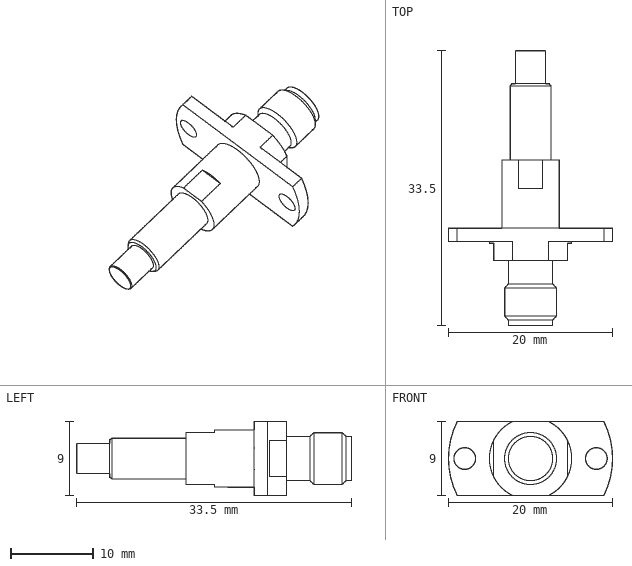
import cadquery as cq

TOTAL_LENGTH = 33.5

NECK_DIAMETER = 5.4
COLLAR_DIAMETER = 6.33
COLLAR_CHAMFER = 0.5
COLLAR_START = 0.67
COLLAR_END = 5.1

FLANGE_HEIGHT = 9.0
BOSS_START = 7.9
SPACER_START = 10.0
SPACER_THICKNESS = 0.2
BOSS_DIAMETER = 10.0
PLATE_START = SPACER_START + SPACER_THICKNESS
PLATE_THICKNESS = 1.65
PLATE_DIAMETER = 20.0
HOLE_SPACING = 16.0
HOLE_DIAMETER = 2.6

BODY_START = PLATE_START + PLATE_THICKNESS
BODY_END = 20.17
BODY_DIAMETER = 7.0
WRENCH_FLAT_LENGTH = 3.45
WRENCH_FLAT_GAP = 6.35
SLEEVE_END = 29.45
SLEEVE_DIAMETER = 5.0
SLEEVE_CHAMFER_LENGTH = 0.3
SLEEVE_CHAMFER_DEPTH = 0.2
TIP_DIAMETER = 3.7
TIP_CHAMFER = 0.1


def disc(diameter, start, length):
    """Round disc about the Y axis, growing towards +Y from start."""
    return cq.Workplane("XZ", origin=(0, start, 0)).circle(diameter / 2).extrude(-length)


def slab(width, height, start, length):
    """Rectangular block centred on the Y axis, growing towards +Y from start."""
    return cq.Workplane("XZ", origin=(0, start, 0)).rect(width, height).extrude(-length)


def make_shaft():
    """Connector, barrel and tip as one revolved profile of (radius, Y station) points."""
    neck_radius = NECK_DIAMETER / 2
    collar_radius = COLLAR_DIAMETER / 2
    body_radius = BODY_DIAMETER / 2
    sleeve_radius = SLEEVE_DIAMETER / 2
    tip_radius = TIP_DIAMETER / 2
    profile = [
        (0, 0),
        (neck_radius, 0),
        (neck_radius, COLLAR_START),
        (collar_radius, COLLAR_START + COLLAR_CHAMFER),
        (collar_radius, COLLAR_END - COLLAR_CHAMFER),
        (neck_radius, COLLAR_END),
        (neck_radius, BODY_START),
        (body_radius, BODY_START),
        (body_radius, BODY_END),
        (sleeve_radius, BODY_END),
        (sleeve_radius, SLEEVE_END - SLEEVE_CHAMFER_LENGTH),
        (sleeve_radius - SLEEVE_CHAMFER_DEPTH, SLEEVE_END),
        (tip_radius, SLEEVE_END),
        (tip_radius, TOTAL_LENGTH - TIP_CHAMFER),
        (tip_radius - TIP_CHAMFER, TOTAL_LENGTH),
        (0, TOTAL_LENGTH),
    ]
    return cq.Workplane("XY").polyline(profile).close().revolve(360, (0, 0, 0), (0, 1, 0))


def cut_wrench_flats(shaft):
    """Trim the rear of the body to two flats facing up and down."""
    start = BODY_END - WRENCH_FLAT_LENGTH
    ring = disc(BODY_DIAMETER, start, WRENCH_FLAT_LENGTH)
    kept = slab(BODY_DIAMETER, WRENCH_FLAT_GAP, start, WRENCH_FLAT_LENGTH)
    return shaft.cut(ring.cut(kept))


def make_boss():
    """Disc trimmed square on all four sides, leaving rounded corners."""
    length = SPACER_START - BOSS_START
    return disc(BOSS_DIAMETER, BOSS_START, length).intersect(
        slab(FLANGE_HEIGHT, FLANGE_HEIGHT, BOSS_START, length)
    )


def make_spacer():
    """Thin disc between boss and plate, flat only at top and bottom."""
    return disc(BOSS_DIAMETER, SPACER_START, SPACER_THICKNESS).intersect(
        slab(BOSS_DIAMETER, FLANGE_HEIGHT, SPACER_START, SPACER_THICKNESS)
    )


def make_plate():
    """Round plate cut flat at top and bottom, with a mounting hole on each side."""
    plate = disc(PLATE_DIAMETER, PLATE_START, PLATE_THICKNESS).intersect(
        slab(PLATE_DIAMETER, FLANGE_HEIGHT, PLATE_START, PLATE_THICKNESS)
    )
    for side in (-1, 1):
        hole = disc(HOLE_DIAMETER, PLATE_START, PLATE_THICKNESS)
        plate = plate.cut(hole.translate((side * HOLE_SPACING / 2, 0, 0)))
    return plate


result = cut_wrench_flats(make_shaft()).union(make_boss()).union(make_spacer()).union(make_plate())